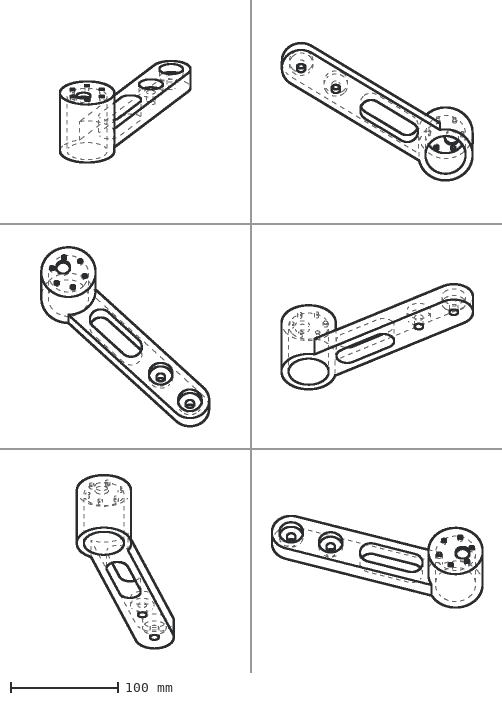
import cadquery as cq
import math

housing_diameter = 50.9
housing_height = 60.0
motor_bore_diameter = 37.5
housing_top_thickness = 4.0
shaft_hole_diameter = 13.0
shaft_hole_offset = 7.0
screw_hole_diameter = 4.0
screw_circle_radius = 15.7
screw_count = 6

overall_length = 203.5
arm_width = 36.2
arm_thickness = 19.1
arm_end_y = overall_length - housing_diameter / 2 - arm_width / 2

mount_spacing = 38.5
mount_hole_diameter = 8.1
counterbore_diameter = 22.2
counterbore_depth = 8.1

slot_length = 60.0
slot_width = 20.2
slot_center_y = 62.5


def cylinder(diameter, height, x=0.0, y=0.0, base_z=0.0):
    """Upright cylinder standing on base_z."""
    return cq.Workplane("XY", origin=(x, y, base_z)).circle(diameter / 2).extrude(height)


def make_arm():
    bar = cq.Workplane("XY").rect(arm_width, arm_end_y).extrude(arm_thickness)
    bar = bar.translate((0, arm_end_y / 2, 0))
    return bar.union(cylinder(arm_width, arm_thickness, y=arm_end_y))


def make_slot():
    return (
        cq.Workplane("XY", origin=(0, slot_center_y, 0))
        .slot2D(slot_length, slot_width, 90)
        .extrude(arm_thickness)
    )


def make_mount_hole(y):
    hole = cylinder(mount_hole_diameter, arm_thickness, y=y)
    counterbore_floor = arm_thickness - counterbore_depth
    return hole.union(cylinder(counterbore_diameter, counterbore_depth, y=y, base_z=counterbore_floor))


result = cylinder(housing_diameter, housing_height).union(make_arm())
result = result.cut(make_slot())
for mount_y in (arm_end_y, arm_end_y - mount_spacing):
    result = result.cut(make_mount_hole(mount_y))

result = result.cut(cylinder(motor_bore_diameter, housing_height - housing_top_thickness))
result = result.cut(cylinder(shaft_hole_diameter, housing_height, y=-shaft_hole_offset))
for index in range(screw_count):
    angle = 2 * math.pi * index / screw_count
    screw_x = screw_circle_radius * math.cos(angle)
    screw_y = screw_circle_radius * math.sin(angle)
    result = result.cut(cylinder(screw_hole_diameter, housing_height, screw_x, screw_y))